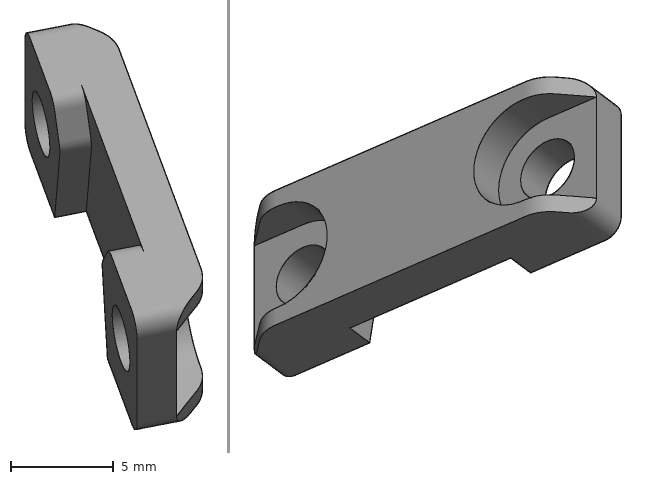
import cadquery as cq
import math

length = 21.0
height = 8.0
depth = height / 2
corner_radius = height / 8

end_bevel = depth / 2
bevel_blend_radius = 2 * corner_radius

hole_diameter = 3.3
hole_inset = 3.0
head_slot_width = height - 2 * corner_radius
head_floor = depth / 2

recess_depth = 1.6
pad_bottom_width = 5.56
pad_top_width = 5.3
pad_lower_angle = math.radians(10)
pad_upper_angle = math.radians(30)

half_length = length / 2
half_height = height / 2
hole_x = half_length - hole_inset


def make_body():
    """Block with rounded end corners and blended bevels at the back."""
    block = (
        cq.Workplane("XY")
        .box(length, depth, height, centered=(True, False, True))
        .edges("|Y")
        .fillet(corner_radius)
    )
    bevel_start = half_length - end_bevel
    bevel_end_y = depth - end_bevel
    bevelled_profile = (
        cq.Workplane("XY")
        .polyline([
            (-half_length, 0),
            (half_length, 0),
            (half_length, bevel_end_y),
            (bevel_start, depth),
            (-bevel_start, depth),
            (-half_length, bevel_end_y),
        ])
        .close()
        .extrude(half_height, both=True)
        .edges("|Z and >Y")
        .fillet(bevel_blend_radius)
    )
    return block.intersect(bevelled_profile)


def make_recess():
    """Cutter for the space between the pads, rounded at the pad corners."""
    lower_slope = math.tan(pad_lower_angle)
    upper_slope = math.tan(pad_upper_angle)
    tip_rise = (pad_top_width - pad_bottom_width + height * upper_slope) / (lower_slope + upper_slope)
    tip_width = pad_bottom_width + tip_rise * lower_slope

    bottom_x = half_length - pad_bottom_width
    tip_x = half_length - tip_width
    top_x = half_length - pad_top_width
    tip_z = tip_rise - half_height

    strip_top = half_height + corner_radius
    cutter = (
        cq.Workplane("XZ")
        .polyline([
            (-bottom_x, -half_height),
            (bottom_x, -half_height),
            (tip_x, tip_z),
            (top_x, half_height),
            (half_length, half_height),
            (half_length, strip_top),
            (-half_length, strip_top),
            (-half_length, half_height),
            (-top_x, half_height),
            (-tip_x, tip_z),
        ])
        .close()
        .extrude(-recess_depth)
    )
    for x, z in ((tip_x, tip_z), (top_x, half_height)):
        for side in (-1, 1):
            corner = cq.selectors.NearestToPointSelector((side * x, recess_depth / 2, z))
            cutter = cutter.edges("|Y").edges(corner).fillet(corner_radius)
    return cutter


def make_screw_seat(side):
    """Cutter for one through hole and its open-ended head slot."""
    hole = (
        cq.Workplane("XZ")
        .center(side * hole_x, 0)
        .circle(hole_diameter / 2)
        .extrude(-depth)
    )
    head_plane = cq.Workplane("XZ", origin=(side * hole_x, head_floor, 0))
    slot_depth = depth - head_floor
    head_round = head_plane.circle(head_slot_width / 2).extrude(-slot_depth)
    head_runout = (
        head_plane
        .center(side * hole_inset / 2, 0)
        .rect(hole_inset, head_slot_width)
        .extrude(-slot_depth)
    )
    return hole.union(head_round).union(head_runout)


result = make_body().cut(make_recess())
for end_side in (-1, 1):
    result = result.cut(make_screw_seat(end_side))